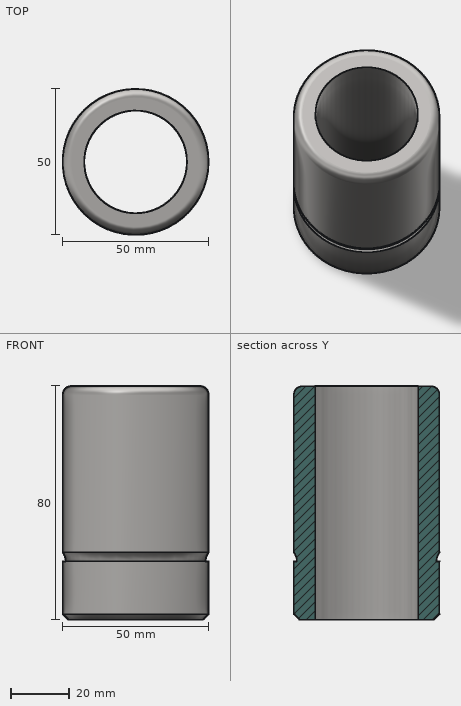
import cadquery as cq
import math

length = 80.0
outer_diameter = 50.0
bore_diameter = 35.0
top_fillet = 3.0
base_chamfer = 2.0

groove_base = 20.0
groove_width = 3.0
groove_depth = 1.0

outer_radius = outer_diameter / 2


def sleeve_body():
    body = cq.Workplane("XY").circle(outer_radius).extrude(length)
    body = body.faces(">Z").edges().fillet(top_fillet)
    body = body.faces("<Z").edges().chamfer(base_chamfer)
    return body.cut(cq.Workplane("XY").circle(bore_diameter / 2).extrude(length))


def groove_cutter():
    floor_radius = outer_radius - groove_depth
    arc_radius = (groove_width**2 + groove_depth**2) / (2 * groove_depth)
    middle_rise = groove_width / 2
    middle_radius = floor_radius + arc_radius - math.sqrt(arc_radius**2 - middle_rise**2)
    return (
        cq.Workplane("XZ")
        .moveTo(outer_radius, groove_base)
        .lineTo(floor_radius, groove_base)
        .threePointArc(
            (middle_radius, groove_base + middle_rise),
            (outer_radius, groove_base + groove_width),
        )
        .close()
        .revolve(360, (0, 0), (0, 1))
    )


result = sleeve_body().cut(groove_cutter())